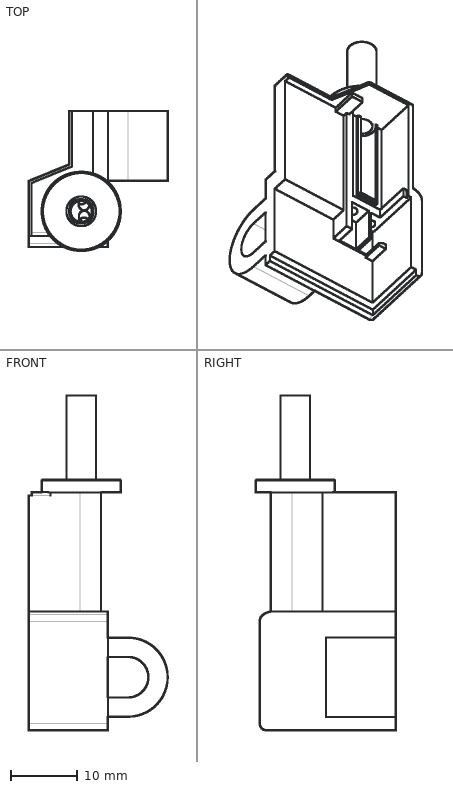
import cadquery as cq
import math

LENGTH_Y = 21.21
HEIGHT = 50.69

FLANGE_RADIUS = 6.0
FLANGE_BOTTOM = 36.0
FLANGE_TOP = 38.0
FLANGE_CHAMFER = 0.2
AXIS_X = 7.95
AXIS_Y = FLANGE_RADIUS
SLEEVE_RADIUS = 2.25
BORE_RADIUS = 1.6
LOWER_BORE_RADIUS = 2.1
BORE_BOTTOM = 19.0
MOUTH_RADIUS = 1.85
MOUTH_DEPTH = 0.4

COVER_WIDTH = 12.0
COVER_FRONT = 0.6
COVER_INNER = 2.65
COVER_TOP = 18.0
COVER_ROUND_START = 16.5
COVER_CREASE_Y = 1.1
COVER_CREASE_Z = 17.5
COVER_SHOULDER_BULGE = 0.08
SIDE_INNER_X = 9.7
LIP_HEIGHT = 1.15
LIP_THICKNESS = 1.1
FOOT_ROUND = 1.05

LOOP_RADIUS = 6.0
LOOP_HOLE_RADIUS = 3.05
LOOP_CENTER_X = 21.05 - LOOP_RADIUS
LOOP_CENTER_Z = 8.05
LOOP_WIDTH = 10.6

HOUSING_FRONT = 2.27
HOUSING_RIGHT = 10.95
HOUSING_ROUND = 3.2
ROUND_START_X = HOUSING_RIGHT - HOUSING_ROUND
WALL_INNER = 3.15
WALL_BOTTOM = 15.85
BLOCK_FACE_X = 6.35
BLOCK_BACK = 10.1
BLOCK_BOTTOM = 10.35
REAR_WALL_X = 7.1
REAR_WALL_BOTTOM = 14.3

ROOF_BOTTOM = 35.0
ROOF_STEP = 35.55
ROOF_TOP = 36.05
ROOF_INSET = 0.45
ROOF_SHOULDER_X = 6.1
ROOF_SLOPE_START = 10.6
ROOF_SLOPE_END = 13.1
ROOF_ROUND_RIGHT = 3.3

WINDOW_FLOOR = 6.75
WINDOW_BACK = 8.85
WINDOW_BOTTOM = 17.5
PAD_FRONT = 4.25
PAD_BACK = 7.9
PAD_BOTTOM = 18.55

POCKET_DEPTH_X = 9.5
REAR_POCKET_FRONT = 5.9
REAR_POCKET_BACK = 9.05
REAR_POCKET_TOP = 16.0
FRONT_POCKET_BACK = 5.5
FRONT_POCKET_TOP = WALL_BOTTOM
WIRE_RADIUS = 0.8
REAR_WIRE_TOP = (8.35, 7.0)
REAR_WIRE_BOTTOM = (7.9, 7.9)
FRONT_WIRE_TOP = (8.4, 5.25)
FRONT_WIRE_BOTTOM = (8.35, 4.2)

RIB_LEFT = 0.5
RIB_BACK = 3.75
TAB_FRONT = 9.6
TAB_BACK = 11.6
TAB_BOTTOM = 34.2
TAB_LEFT = 3.0
CATCH_BOTTOM = 9.9
CATCH_TOP = 10.8
CATCH_BACK = 3.95
CATCH_SHOULDER = 3.2


def box(x0, x1, y0, y1, z0, z1):
    """Box given by its limits along each axis."""
    return cq.Workplane("XY").box(x1 - x0, y1 - y0, z1 - z0, centered=False).translate((x0, y0, z0))


def rounded_corner_point(center_y, center_z, radius, z_sign):
    """Middle of a quarter round that faces -Y and up (+1) or down (-1)."""
    offset = radius * math.sqrt(0.5)
    return (center_y - offset, center_z + z_sign * offset)


def make_cover():
    """Front and side plates, thinned to a half-thickness lip at the bottom."""
    lower_run = COVER_CREASE_Y - COVER_FRONT
    lower_rise = COVER_CREASE_Z - COVER_ROUND_START
    lower_radius = (lower_run**2 + lower_rise**2) / (2 * lower_run)
    lower_half_angle = math.asin(lower_rise / lower_radius) / 2
    lower_middle = (
        COVER_FRONT + lower_radius * (1 - math.cos(lower_half_angle)),
        COVER_ROUND_START + lower_radius * math.sin(lower_half_angle),
    )
    foot_back = COVER_FRONT + LIP_THICKNESS
    foot_y = COVER_FRONT + FOOT_ROUND
    front = (
        cq.Workplane("YZ")
        .moveTo(foot_y, 0)
        .threePointArc(rounded_corner_point(foot_y, FOOT_ROUND, FOOT_ROUND, -1), (COVER_FRONT, FOOT_ROUND))
        .lineTo(COVER_FRONT, COVER_ROUND_START)
        .threePointArc(lower_middle, (COVER_CREASE_Y, COVER_CREASE_Z))
        .sagittaArc((HOUSING_FRONT, COVER_TOP), COVER_SHOULDER_BULGE)
        .lineTo(COVER_INNER, COVER_TOP)
        .lineTo(COVER_INNER, LIP_HEIGHT)
        .lineTo(foot_back, LIP_HEIGHT)
        .lineTo(foot_back, 0)
        .close()
        .extrude(COVER_WIDTH)
    )
    side = box(SIDE_INNER_X, COVER_WIDTH, COVER_INNER, LENGTH_Y, LIP_HEIGHT, COVER_TOP)
    lip = box(COVER_WIDTH - LIP_THICKNESS, COVER_WIDTH, foot_y, LENGTH_Y, 0, LIP_HEIGHT)
    return front.union(side).union(lip)


def make_loop():
    """D-shaped strap loop with an opening of the same shape."""

    def d_shape(radius, left):
        top = LOOP_CENTER_Z + radius
        bottom = LOOP_CENTER_Z - radius
        return (
            cq.Workplane("XZ", origin=(0, LENGTH_Y, 0))
            .moveTo(left, bottom)
            .lineTo(LOOP_CENTER_X, bottom)
            .threePointArc((LOOP_CENTER_X + radius, LOOP_CENTER_Z), (LOOP_CENTER_X, top))
            .lineTo(left, top)
            .close()
            .extrude(LOOP_WIDTH)
        )

    return d_shape(LOOP_RADIUS, SIDE_INNER_X).cut(d_shape(LOOP_HOLE_RADIUS, COVER_WIDTH))


def make_roof():
    """Roof plate whose upper tier is set in from the left outline."""

    def tier(inset, z0, z1):
        slope = math.atan2(ROOF_SLOPE_END - ROOF_SLOPE_START, ROOF_SHOULDER_X)
        shift = inset * (1 - math.sin(slope)) / math.cos(slope)
        outline = [
            (inset, HOUSING_FRONT),
            (inset, ROOF_SLOPE_START - shift),
            (ROOF_SHOULDER_X + inset, ROOF_SLOPE_END - shift),
            (ROOF_SHOULDER_X + inset, LENGTH_Y),
            (SIDE_INNER_X, LENGTH_Y),
            (SIDE_INNER_X, BLOCK_BACK),
            (ROUND_START_X, BLOCK_BACK),
            (ROUND_START_X, HOUSING_FRONT),
        ]
        return cq.Workplane("XY", origin=(0, 0, z0)).polyline(outline).close().extrude(z1 - z0)

    return tier(0, ROOF_BOTTOM, ROOF_STEP).union(tier(ROOF_INSET, ROOF_STEP, ROOF_TOP))


def make_roof_round():
    """Material removed to round the front left edge of the upper roof tier."""
    radius = ROOF_TOP - ROOF_STEP
    arc_end = HOUSING_FRONT + radius
    return (
        cq.Workplane("YZ")
        .moveTo(HOUSING_FRONT, ROOF_STEP)
        .threePointArc(rounded_corner_point(arc_end, ROOF_STEP, radius, 1), (arc_end, ROOF_TOP))
        .lineTo(HOUSING_FRONT, ROOF_TOP)
        .close()
        .extrude(ROOF_ROUND_RIGHT)
    )


def make_housing():
    """Front wall, block around the bore, rear wall and roof."""
    front_wall = box(0, ROUND_START_X, HOUSING_FRONT, WALL_INNER, WALL_BOTTOM, ROOF_STEP)
    block = box(BLOCK_FACE_X, HOUSING_RIGHT, HOUSING_FRONT, BLOCK_BACK, BLOCK_BOTTOM, ROOF_TOP)
    rear_wall = box(REAR_WALL_X, SIDE_INNER_X, BLOCK_BACK, LENGTH_Y, REAR_WALL_BOTTOM, ROOF_BOTTOM)
    rib = box(RIB_LEFT, BLOCK_FACE_X, WALL_INNER, RIB_BACK, WALL_BOTTOM, WINDOW_BOTTOM)
    tab = box(TAB_LEFT, REAR_WALL_X, TAB_FRONT, TAB_BACK, TAB_BOTTOM, ROOF_BOTTOM)
    rounded_block = block.edges("|Z and >X and <Y").fillet(HOUSING_ROUND)
    roof = make_roof().cut(make_roof_round())
    return rounded_block.union(front_wall).union(rear_wall).union(rib).union(tab).union(roof)


def make_catch():
    """Small catch with a bevelled top on the inside of the front plate."""
    profile = [
        (COVER_INNER, CATCH_BOTTOM),
        (CATCH_BACK, CATCH_BOTTOM),
        (CATCH_BACK, BLOCK_BOTTOM),
        (CATCH_SHOULDER, CATCH_TOP),
        (COVER_INNER, CATCH_TOP),
    ]
    outline = cq.Workplane("YZ", origin=(BLOCK_FACE_X, 0, 0)).polyline(profile).close()
    return outline.extrude(SIDE_INNER_X - BLOCK_FACE_X)


def make_sleeve():
    """Chamfered flange carrying the vertical sleeve."""
    flange = (
        cq.Workplane("XY", origin=(AXIS_X, AXIS_Y, FLANGE_BOTTOM))
        .circle(FLANGE_RADIUS)
        .extrude(FLANGE_TOP - FLANGE_BOTTOM)
        .faces(">Z")
        .edges()
        .chamfer(FLANGE_CHAMFER)
    )
    sleeve = cq.Workplane("XY", origin=(AXIS_X, AXIS_Y, FLANGE_BOTTOM)).circle(SLEEVE_RADIUS)
    return flange.union(sleeve.extrude(HEIGHT - FLANGE_BOTTOM))


def make_bore():
    """Blind bore, flared at the sleeve mouth and wider inside the block."""
    profile = [
        (0, BORE_BOTTOM),
        (LOWER_BORE_RADIUS, BORE_BOTTOM),
        (LOWER_BORE_RADIUS, ROOF_BOTTOM),
        (BORE_RADIUS, ROOF_BOTTOM),
        (BORE_RADIUS, HEIGHT - MOUTH_DEPTH),
        (MOUTH_RADIUS, HEIGHT),
        (0, HEIGHT),
    ]
    bore = cq.Workplane("XZ").polyline(profile).close().revolve(360, (0, 0, 0), (0, 1, 0))
    return bore.translate((AXIS_X, AXIS_Y, 0))


def make_window():
    """Recess in the -X face of the block that leaves a pad standing around the bore."""
    recess = box(BLOCK_FACE_X, WINDOW_FLOOR, WALL_INNER, WINDOW_BACK, WINDOW_BOTTOM, ROOF_BOTTOM)
    pad = box(BLOCK_FACE_X, WINDOW_FLOOR, PAD_FRONT, PAD_BACK, PAD_BOTTOM, ROOF_BOTTOM)
    return recess.cut(pad)


def make_pockets():
    """Two wire pockets open to -X and downwards."""
    rear = box(
        BLOCK_FACE_X, POCKET_DEPTH_X, REAR_POCKET_FRONT, REAR_POCKET_BACK, BLOCK_BOTTOM, REAR_POCKET_TOP
    )
    front = box(BLOCK_FACE_X, POCKET_DEPTH_X, HOUSING_FRONT, FRONT_POCKET_BACK, BLOCK_BOTTOM, FRONT_POCKET_TOP)
    return rear.union(front)


def make_wire_hole(top, bottom, pocket_top):
    """Inclined hole from the bore floor into a wire pocket."""
    start = cq.Vector(top[0], top[1], BORE_BOTTOM)
    direction = cq.Vector(bottom[0], bottom[1], pocket_top) - start
    overrun = direction.normalized() * (WIRE_RADIUS / 2)
    length = direction.Length + WIRE_RADIUS
    return cq.Workplane(cq.Solid.makeCylinder(WIRE_RADIUS, length, start - overrun, direction))


housing = make_housing().cut(make_window()).cut(make_pockets())
body = housing.union(make_cover()).union(make_loop()).union(make_sleeve()).union(make_catch())
body = body.cut(make_bore())
body = body.cut(make_wire_hole(REAR_WIRE_TOP, REAR_WIRE_BOTTOM, REAR_POCKET_TOP))
result = body.cut(make_wire_hole(FRONT_WIRE_TOP, FRONT_WIRE_BOTTOM, FRONT_POCKET_TOP))